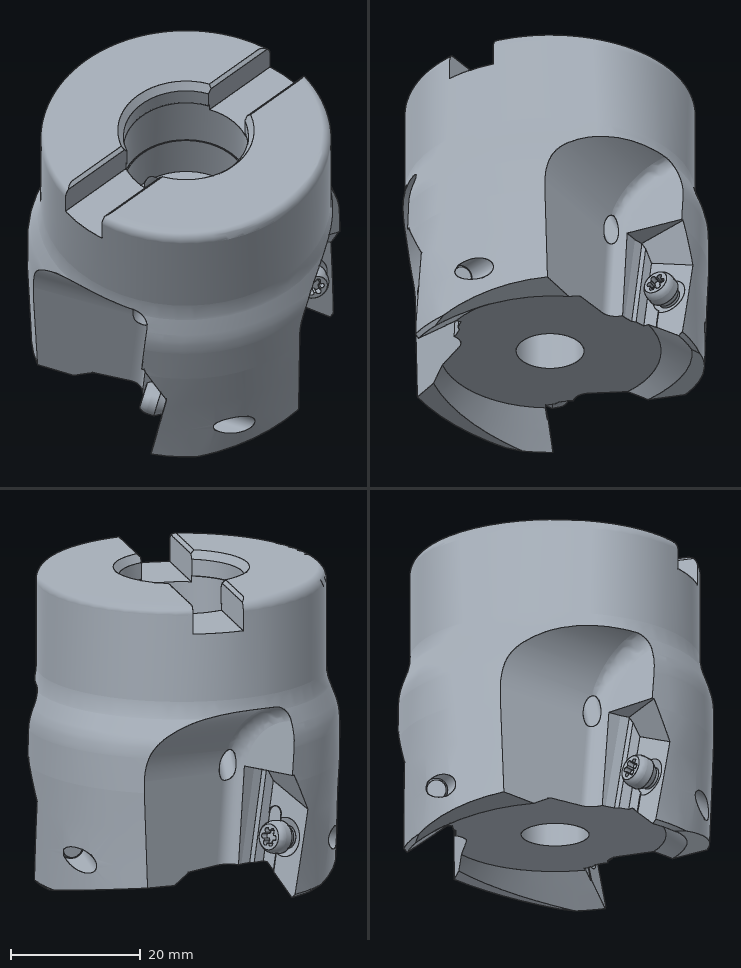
import cadquery as cq
import math

TOOTH_COUNT = 3
TOOTH_PITCH = 360 / TOOTH_COUNT
BODY_TOP = 48.65

HUB_RADIUS = 22.4
HUB_BOTTOM = 32.9
HUB_FILLET = 1.95
FLARE_START = (22.9, 30.2)
FLARE_END = (23.85, 27.7)
CUTTING_RADIUS = 24.45
CUTTING_TOP = 24.25
CUTTING_BOTTOM = 18.7
TIP_RADIUS = 23.8
CORNER_CHAMFER = 0.6

CORE_FACE_HEIGHT = 4.4
CORE_FACE_RADIUS = 17.15

BORE_RADIUS = 9.65
BORE_FLOOR = 29.35
BORE_CHAMFER = 0.9
BORE_CHAMFER_DEPTH = 1.25
RELIEF_DEPTH = 0.2
RELIEF_TOP = BODY_TOP - 3.95
RELIEF_BOTTOM = BODY_TOP - 12.4
BOLT_HOLE_RADIUS = 5.25
BOLT_HOLE_CHAMFER = 0.4

SLOT_WIDTH = 8.05
SLOT_DEPTH = 4.95
SLOT_CHAMFER = 0.55

FLUTE_CORNER = (5.1, -12.25, 18.85)
FLUTE_FLOOR_ANGLE = 29
FLUTE_LEAN = 5
FLUTE_WALL_FLARE = 8
FLUTE_END_RADIUS = 12.25
FLUTE_FILLET = 2.55
FLUTE_REACH = 29.35

TIP_ANGLE = -61
LAND_LENGTH = 5.85
CLEARANCE_ANGLE = 12.6

SEAT_CENTER = (12.25, -16.15, 8.8)
SEAT_AZIMUTH = 32
SEAT_TILT = 11
SEAT_WALL_OFFSET = 3.9
SEAT_STEP_START = (4.3, 1.45)
SEAT_STEP_END = (4.8, 1.95)
SEAT_WALL_TOP = (5.1, 3.45)
SEAT_DEPTH = 6.85
SEAT_REACH = 19.6
SEAT_TOP = 6.6
SEAT_TOP_FALL = 0.4
SEAT_TOP_FLARE = 1.2
SEAT_CEILING = 19.9
SEAT_GROOVE_WIDTH = 2.45
SEAT_GROOVE_DEPTH = 0.15
SEAT_GROOVE_TOP = 4.4

SCREW_RADIUS = 1.8
SCREW_LENGTH = 7.15
SCREW_END_CHAMFER = 0.3
SINK_RADIUS = 3.05
SINK_DEPTH = 0.5
HEAD_CONE_HEIGHT = 1.2
HEAD_BAND_TOP = 2.45
HEAD_HEIGHT = 3.7
HEAD_FACE_RADIUS = 2.0
HEAD_RADIUS = 2.55
SOCKET_RADIUS = 1.05
SOCKET_LOBE_CIRCLE = 1.15
SOCKET_LOBE_RADIUS = 0.4
SOCKET_DEPTH = 1.2
SOCKET_LOBES = 6

COOLANT_RADIUS = 1.45
COOLANT_START = (3.1, -7.75, BORE_FLOOR)
COOLANT_EXIT = (3.75, -13.05, 20.55)

AXIS_START = (0, 0, 0)
AXIS_END = (0, 0, 1)


def around_axis(shape):
    """One copy of the shape for each tooth."""
    return [shape.rotate(AXIS_START, AXIS_END, i * TOOTH_PITCH) for i in range(TOOTH_COUNT)]


def polar(angle, length=1.0):
    """Horizontal vector at an angle in degrees from X."""
    turn = math.radians(angle)
    return cq.Vector(length * math.cos(turn), length * math.sin(turn), 0)


def seat_plane():
    """Plane of the seat: x points radially outward, y up the tooth, z out of the seat."""
    tilt = math.radians(SEAT_TILT)
    facing = polar(SEAT_AZIMUTH, -math.cos(tilt)) + cq.Vector(0, 0, math.sin(tilt))
    return cq.Plane(SEAT_CENTER, polar(SEAT_AZIMUTH - 90), facing)


def body_blank():
    """Turned outside of the body, with its hollow end face."""
    return (
        cq.Workplane("XZ")
        .moveTo(0, CORE_FACE_HEIGHT)
        .lineTo(CORE_FACE_RADIUS, CORE_FACE_HEIGHT)
        .lineTo(TIP_RADIUS - CORNER_CHAMFER, 0)
        .lineTo(TIP_RADIUS, CORNER_CHAMFER)
        .lineTo(CUTTING_RADIUS, CUTTING_BOTTOM)
        .lineTo(CUTTING_RADIUS, CUTTING_TOP)
        .tangentArcPoint(FLARE_END, relative=False)
        .lineTo(*FLARE_START)
        .tangentArcPoint((HUB_RADIUS, HUB_BOTTOM), relative=False)
        .lineTo(HUB_RADIUS, BODY_TOP)
        .lineTo(0, BODY_TOP)
        .close()
        .revolve(360, (0, 0), (0, 1))
        .faces(">Z")
        .edges()
        .fillet(HUB_FILLET)
    )


def bore():
    """Chamfered arbor bore with a shallow relief, and the bolt hole through its floor."""
    return (
        cq.Workplane("XZ")
        .polyline([
            (0, 0),
            (BOLT_HOLE_RADIUS, 0),
            (BOLT_HOLE_RADIUS, BORE_FLOOR - BOLT_HOLE_CHAMFER),
            (BOLT_HOLE_RADIUS + BOLT_HOLE_CHAMFER, BORE_FLOOR),
            (BORE_RADIUS, BORE_FLOOR),
            (BORE_RADIUS, RELIEF_BOTTOM),
            (BORE_RADIUS + RELIEF_DEPTH, RELIEF_BOTTOM),
            (BORE_RADIUS + RELIEF_DEPTH, RELIEF_TOP),
            (BORE_RADIUS, RELIEF_TOP),
            (BORE_RADIUS, BODY_TOP - BORE_CHAMFER_DEPTH),
            (BORE_RADIUS + BORE_CHAMFER, BODY_TOP),
            (0, BODY_TOP),
        ])
        .close()
        .revolve(360, (0, 0), (0, 1))
    )


def driving_slot():
    """Slot across the top along Y, with chamfered upper edges."""
    half_width = SLOT_WIDTH / 2
    slot_floor = BODY_TOP - SLOT_DEPTH
    return (
        cq.Workplane("XZ")
        .polyline([
            (-half_width, slot_floor),
            (half_width, slot_floor),
            (half_width, BODY_TOP - SLOT_CHAMFER),
            (half_width + SLOT_CHAMFER, BODY_TOP),
            (-half_width - SLOT_CHAMFER, BODY_TOP),
            (-half_width, BODY_TOP - SLOT_CHAMFER),
        ])
        .close()
        .extrude(CUTTING_RADIUS, both=True)
    )


def flute():
    """Pocket with a flat floor, a rounded upper end and a filleted wall under the tooth face."""
    pocket = (
        cq.Workplane("YZ")
        .moveTo(0, -FLUTE_REACH)
        .lineTo(0, 0)
        .tangentArcPoint((-FLUTE_END_RADIUS, FLUTE_END_RADIUS), relative=False)
        .lineTo(-FLUTE_REACH, FLUTE_END_RADIUS)
        .lineTo(-FLUTE_REACH, -FLUTE_REACH)
        .close()
        .extrude(FLUTE_REACH, both=True)
    )
    wall_stock = (
        cq.Workplane("XY")
        .box(2 * FLUTE_REACH, 4 * FLUTE_REACH, 4 * FLUTE_REACH)
        .translate((FLUTE_REACH, 0, 0))
        .rotate(AXIS_START, AXIS_END, FLUTE_WALL_FLARE)
    )
    return (
        pocket.cut(wall_stock)
        .faces(">X")
        .edges()
        .fillet(FLUTE_FILLET)
        .rotate(AXIS_START, (0, 1, 0), FLUTE_LEAN)
        .rotate(AXIS_START, AXIS_END, FLUTE_FLOOR_ANGLE)
        .translate(FLUTE_CORNER)
    )


def end_clearance():
    """Wedge under a tooth that lifts its end away behind the land."""
    length = CUTTING_RADIUS
    height = length * math.tan(math.radians(CLEARANCE_ANGLE))
    wedge_plane = cq.Plane((0, 0, 0), polar(TIP_ANGLE + 90), polar(TIP_ANGLE))
    return (
        cq.Workplane(wedge_plane)
        .polyline([(LAND_LENGTH, 0), (LAND_LENGTH + length, 0), (LAND_LENGTH + length, height)])
        .close()
        .extrude(2 * CUTTING_RADIUS)
    )


def seat_pocket():
    """Insert pocket cut into the tooth face: flat seat, stepped inner wall and overhanging top."""
    plane = seat_plane()
    section_plane = cq.Plane(plane.origin, -plane.xDir, plane.yDir)
    pocket = (
        cq.Workplane(section_plane)
        .polyline([
            (SEAT_WALL_OFFSET, 0),
            SEAT_STEP_START,
            SEAT_STEP_END,
            SEAT_WALL_TOP,
            (SEAT_WALL_TOP[0], SEAT_DEPTH),
            (-SEAT_REACH, SEAT_DEPTH),
            (-SEAT_REACH, 0),
        ])
        .close()
        .extrude(SEAT_REACH, both=True)
    )
    top_point = plane.toWorldCoords((0, SEAT_TOP, 0))
    top_normal = plane.xDir * SEAT_TOP_FALL + plane.yDir - plane.zDir * SEAT_TOP_FLARE
    stock_above = (
        cq.Workplane(cq.Plane(top_point, plane.zDir.cross(top_normal), top_normal))
        .rect(4 * SEAT_REACH, 4 * SEAT_REACH)
        .extrude(2 * SEAT_REACH)
    )
    ceiling = (
        cq.Workplane("XY", origin=(0, 0, SEAT_CEILING))
        .rect(4 * CUTTING_RADIUS, 4 * CUTTING_RADIUS)
        .extrude(2 * SEAT_REACH)
    )
    return pocket.cut(stock_above).cut(ceiling)


def seat_groove():
    """Shallow round-ended groove along the foot of the inner wall."""
    end_radius = SEAT_GROOVE_WIDTH / 2
    straight_top = SEAT_GROOVE_TOP - end_radius
    return (
        cq.Workplane(seat_plane())
        .moveTo(-SEAT_WALL_OFFSET, -SEAT_REACH)
        .lineTo(-SEAT_WALL_OFFSET, straight_top)
        .threePointArc(
            (-SEAT_WALL_OFFSET + end_radius, SEAT_GROOVE_TOP),
            (-SEAT_WALL_OFFSET + SEAT_GROOVE_WIDTH, straight_top),
        )
        .lineTo(-SEAT_WALL_OFFSET + SEAT_GROOVE_WIDTH, -SEAT_REACH)
        .close()
        .extrude(-SEAT_GROOVE_DEPTH)
    )


def screw_hole():
    """Countersunk hole square to the seat, through to the back of the tooth."""
    hole = cq.Workplane(seat_plane()).circle(SCREW_RADIUS).extrude(-SEAT_REACH)
    sink = cq.Solid.makeCone(
        SCREW_RADIUS, SINK_RADIUS, SINK_DEPTH,
        pnt=seat_plane().toWorldCoords((0, 0, -SINK_DEPTH)), dir=seat_plane().zDir,
    )
    return hole.union(cq.Workplane(sink))


def coolant_hole():
    """Slanting hole that runs on past both of its openings."""
    start = cq.Vector(*COOLANT_START)
    run = cq.Vector(*COOLANT_EXIT) - start
    return cq.Workplane(
        cq.Solid.makeCylinder(COOLANT_RADIUS, 2 * run.Length, start - run * 0.5, run)
    )


def cutter_body():
    """Blank with its bore and slot, then every feature that repeats at each tooth."""
    body = body_blank().cut(bore()).cut(driving_slot())
    for feature in (flute, end_clearance, seat_pocket, seat_groove, screw_hole, coolant_hole):
        for cutter in around_axis(feature()):
            body = body.cut(cutter)
    return body


def insert_screw():
    """Screw standing in its hole, with a rounded head and a six-lobed socket."""
    plane = seat_plane()
    profile_plane = cq.Plane(plane.origin, plane.xDir, -plane.yDir)
    screw = (
        cq.Workplane(profile_plane)
        .moveTo(0, -SCREW_LENGTH)
        .lineTo(SCREW_RADIUS - SCREW_END_CHAMFER, -SCREW_LENGTH)
        .lineTo(SCREW_RADIUS, -SCREW_LENGTH + SCREW_END_CHAMFER)
        .lineTo(SCREW_RADIUS, 0)
        .lineTo(HEAD_RADIUS, HEAD_CONE_HEIGHT)
        .lineTo(HEAD_RADIUS, HEAD_BAND_TOP)
        .tangentArcPoint((HEAD_FACE_RADIUS, HEAD_HEIGHT), relative=False)
        .lineTo(0, HEAD_HEIGHT)
        .close()
        .revolve(360, (0, 0), (0, 1))
    )
    head_face = cq.Workplane(plane).workplane(offset=HEAD_HEIGHT)
    socket = (
        head_face.circle(SOCKET_RADIUS)
        .extrude(-SOCKET_DEPTH)
        .union(
            head_face.polarArray(SOCKET_LOBE_CIRCLE, 0, 360, SOCKET_LOBES)
            .circle(SOCKET_LOBE_RADIUS)
            .extrude(-SOCKET_DEPTH)
        )
    )
    return screw.cut(socket)


body = cutter_body()
screws = around_axis(insert_screw())
result = cq.Compound.makeCompound([body.val(), *[screw.val() for screw in screws]])